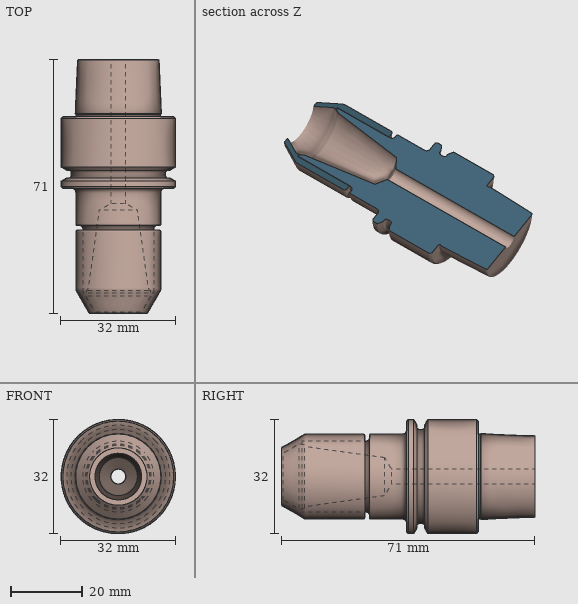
import cadquery as cq
import math


SHANK_LENGTH = 15.9
SHANK_END_RADIUS = 11.4
SHANK_BASE_RADIUS = 12.1
SHANK_END_FILLET = 0.4
SHANK_NECK_RADIUS = 11.85
SHANK_NECK_WIDTH = 0.6
SHANK_NECK_STEP = 0.2

FLANGE_DIAMETER = 32.0
FLANGE_RADIUS = FLANGE_DIAMETER / 2
FLANGE_FRONT_CHAMFER = 0.5
FLANGE_BACK_CHAMFER = 0.6
FLANGE_FRONT_Y = -20.1
GROOVE_BACK_Y = -14.1
GROOVE_FRONT_Y = -18.1
GROOVE_FLOOR_RADIUS = 13.2
GROOVE_FLANK_ANGLE = 60
GROOVE_FLANK_WIDTH = 0.9
GROOVE_FILLET = 0.65

BODY_RADIUS = 11.9
BODY_BACK_FILLET = 1.1
BODY_FRONT_Y = -30.45
BODY_FRONT_FILLET = 0.4
SPIGOT_RADIUS = 9.95
SPIGOT_FILLET = 1.0

OVERALL_LENGTH = 71.0
NUT_LENGTH = 23.35
NUT_RADIUS = BODY_RADIUS
NUT_BACK_FILLET = 0.65
NUT_NOSE_ANGLE = 30
NUT_NOSE_RADIUS = 8.25
NUT_SHOULDER_FILLET = 1.7
NUT_FRONT_CHAMFER = 0.2
NUT_MOUTH_RADIUS = 6.5
NUT_MOUTH_LAND = 0.35
NUT_SEAT_ANGLE = 30
NUT_SEAT_RADIUS = 9.15

SPIGOT_SETBACK = 5.75
RECESS_RADIUS = 8.95
RECESS_DEPTH = 0.65
MOUTH_CHAMFER_RADIUS = 8.7
MOUTH_CHAMFER_LENGTH = 0.8
COLLET_MOUTH_RADIUS = 8.4
COLLET_END_RADIUS = 5.3
COLLET_TAPER_ANGLE = 8
THROUGH_RADIUS = 2.05
DRILL_POINT_ANGLE = 60

NUT_FRONT_Y = SHANK_LENGTH - OVERALL_LENGTH
NUT_BACK_Y = NUT_FRONT_Y + NUT_LENGTH
SPIGOT_FRONT_Y = NUT_FRONT_Y + SPIGOT_SETBACK


def slope(angle):
    """Radius gained per unit length on a face at this angle, in degrees, to the axis."""
    return math.tan(math.radians(angle))


def revolve_about_axis(outline):
    """Turn a half outline, given as (radius, y) points, about the tool axis."""
    return outline.close().revolve(360, (0, 0, 0), (0, 1, 0))


def make_holder():
    """Shank, flange with gripper groove, body and the spigot that carries the nut."""
    flank_end_radius = FLANGE_RADIUS - GROOVE_FLANK_WIDTH * slope(GROOVE_FLANK_ANGLE)
    fillet_top_radius = GROOVE_FLOOR_RADIUS + GROOVE_FILLET
    back_wall_y = GROOVE_BACK_Y - GROOVE_FLANK_WIDTH
    front_wall_y = GROOVE_FRONT_Y + GROOVE_FLANK_WIDTH
    outline = (
        cq.Workplane("XY")
        .moveTo(0, SHANK_LENGTH)
        .lineTo(SHANK_END_RADIUS - SHANK_END_FILLET, SHANK_LENGTH)
        .radiusArc((SHANK_END_RADIUS, SHANK_LENGTH - SHANK_END_FILLET), SHANK_END_FILLET)
        .lineTo(SHANK_BASE_RADIUS, SHANK_NECK_WIDTH + SHANK_NECK_STEP)
        .lineTo(SHANK_NECK_RADIUS, SHANK_NECK_WIDTH)
        .lineTo(SHANK_NECK_RADIUS, 0)
        .lineTo(FLANGE_RADIUS - FLANGE_BACK_CHAMFER, 0)
        .lineTo(FLANGE_RADIUS, -FLANGE_BACK_CHAMFER)
        .lineTo(FLANGE_RADIUS, GROOVE_BACK_Y)
        .lineTo(flank_end_radius, back_wall_y)
        .lineTo(fillet_top_radius, back_wall_y)
        .radiusArc((GROOVE_FLOOR_RADIUS, back_wall_y - GROOVE_FILLET), -GROOVE_FILLET)
        .lineTo(GROOVE_FLOOR_RADIUS, front_wall_y + GROOVE_FILLET)
        .radiusArc((fillet_top_radius, front_wall_y), -GROOVE_FILLET)
        .lineTo(flank_end_radius, front_wall_y)
        .lineTo(FLANGE_RADIUS, GROOVE_FRONT_Y)
        .lineTo(FLANGE_RADIUS, FLANGE_FRONT_Y + FLANGE_FRONT_CHAMFER)
        .lineTo(FLANGE_RADIUS - FLANGE_FRONT_CHAMFER, FLANGE_FRONT_Y)
        .lineTo(BODY_RADIUS + BODY_BACK_FILLET, FLANGE_FRONT_Y)
        .radiusArc((BODY_RADIUS, FLANGE_FRONT_Y - BODY_BACK_FILLET), -BODY_BACK_FILLET)
        .lineTo(BODY_RADIUS, BODY_FRONT_Y + BODY_FRONT_FILLET)
        .radiusArc((BODY_RADIUS - BODY_FRONT_FILLET, BODY_FRONT_Y), BODY_FRONT_FILLET)
        .lineTo(SPIGOT_RADIUS + SPIGOT_FILLET, BODY_FRONT_Y)
        .radiusArc((SPIGOT_RADIUS, BODY_FRONT_Y - SPIGOT_FILLET), -SPIGOT_FILLET)
        .lineTo(SPIGOT_RADIUS, SPIGOT_FRONT_Y)
        .lineTo(0, SPIGOT_FRONT_Y)
    )
    return revolve_about_axis(outline).cut(make_holder_bore())


def make_holder_bore():
    """Recessed collet taper that narrows through a cone to a through hole."""
    recess_y = SPIGOT_FRONT_Y + RECESS_DEPTH
    mouth_y = recess_y + MOUTH_CHAMFER_LENGTH
    collet_end_y = mouth_y + (COLLET_MOUTH_RADIUS - COLLET_END_RADIUS) / slope(COLLET_TAPER_ANGLE)
    drill_end_y = collet_end_y + (COLLET_END_RADIUS - THROUGH_RADIUS) / slope(DRILL_POINT_ANGLE)
    outline = (
        cq.Workplane("XY")
        .moveTo(0, SPIGOT_FRONT_Y)
        .lineTo(RECESS_RADIUS, SPIGOT_FRONT_Y)
        .lineTo(RECESS_RADIUS, recess_y)
        .lineTo(MOUTH_CHAMFER_RADIUS, recess_y)
        .lineTo(COLLET_MOUTH_RADIUS, mouth_y)
        .lineTo(COLLET_END_RADIUS, collet_end_y)
        .lineTo(THROUGH_RADIUS, drill_end_y)
        .lineTo(THROUGH_RADIUS, SHANK_LENGTH)
        .lineTo(0, SHANK_LENGTH)
    )
    return revolve_about_axis(outline)


def make_nut():
    """Conical-nosed nut, bored to fit the spigot and opening inward behind its mouth."""
    seat_front_y = NUT_FRONT_Y + NUT_MOUTH_LAND
    seat_back_y = seat_front_y + (NUT_SEAT_RADIUS - NUT_MOUTH_RADIUS) / slope(NUT_SEAT_ANGLE)
    nose_angle = math.radians(NUT_NOSE_ANGLE)
    nose_front_y = NUT_FRONT_Y + NUT_FRONT_CHAMFER
    shoulder_front_radius = NUT_RADIUS - NUT_SHOULDER_FILLET * (1 - math.cos(nose_angle))
    shoulder_front_y = nose_front_y + (shoulder_front_radius - NUT_NOSE_RADIUS) / slope(NUT_NOSE_ANGLE)
    shoulder_back_y = shoulder_front_y + NUT_SHOULDER_FILLET * math.sin(nose_angle)
    outline = (
        cq.Workplane("XY")
        .moveTo(SPIGOT_RADIUS, NUT_BACK_Y)
        .lineTo(NUT_RADIUS - NUT_BACK_FILLET, NUT_BACK_Y)
        .radiusArc((NUT_RADIUS, NUT_BACK_Y - NUT_BACK_FILLET), NUT_BACK_FILLET)
        .lineTo(NUT_RADIUS, shoulder_back_y)
        .radiusArc((shoulder_front_radius, shoulder_front_y), NUT_SHOULDER_FILLET)
        .lineTo(NUT_NOSE_RADIUS, nose_front_y)
        .lineTo(NUT_NOSE_RADIUS - NUT_FRONT_CHAMFER, NUT_FRONT_Y)
        .lineTo(NUT_MOUTH_RADIUS, NUT_FRONT_Y)
        .lineTo(NUT_MOUTH_RADIUS, seat_front_y)
        .lineTo(NUT_SEAT_RADIUS, seat_back_y)
        .lineTo(NUT_SEAT_RADIUS, SPIGOT_FRONT_Y)
        .lineTo(SPIGOT_RADIUS, SPIGOT_FRONT_Y)
    )
    return revolve_about_axis(outline)


holder = make_holder()
nut = make_nut()

result = cq.Compound.makeCompound([holder.val(), nut.val()])